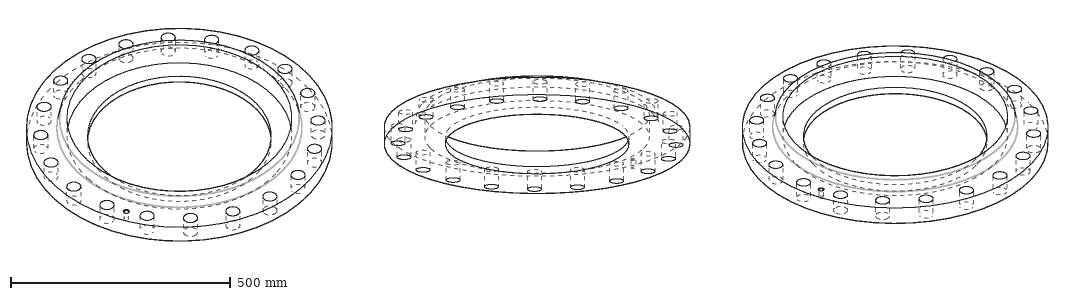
import cadquery as cq
import math

flange_diameter = 698.0
flange_thickness = 42.0
overall_height = 71.0

hub_base_diameter = 558.5
hub_top_diameter = 548.0
hub_edge_fillet = 1.5

bore_diameter = 419.0
recess_diameter = 513.0
recess_floor_height = 17.5

bolt_count = 20
bolt_circle_radius = 635.0 / 2
bolt_hole_diameter = 32.0
bolt_pitch_angle = 360 / bolt_count

small_hole_angle = -90 + bolt_pitch_angle / 2
small_hole_diameter = 10.5
small_hole_depth = flange_thickness / 2
countersink_diameter = 13.0
countersink_angle = 90


def ring_body():
    """Revolved half-section: flange, tapered hub, recess and bore, with the hub's rim and root rounded."""
    half_section = [
        (bore_diameter / 2, 0),
        (flange_diameter / 2, 0),
        (flange_diameter / 2, flange_thickness),
        (hub_base_diameter / 2, flange_thickness),
        (hub_top_diameter / 2, overall_height),
        (recess_diameter / 2, overall_height),
        (recess_diameter / 2, recess_floor_height),
        (bore_diameter / 2, recess_floor_height),
    ]
    ring = cq.Workplane("XZ").polyline(half_section).close().revolve(360, (0, 0, 0), (0, 1, 0))
    hub_rim = cq.selectors.RadiusNthSelector(-3)
    hub_root = cq.selectors.RadiusNthSelector(-2)
    return ring.edges(hub_rim + hub_root).fillet(hub_edge_fillet)


def cut_bolt_holes(body):
    """Evenly spaced through holes, one of them on the +X axis."""
    return (
        body.faces("<Z")
        .workplane(origin=(0, 0, 0))
        .polarArray(bolt_circle_radius, 0, 360, bolt_count)
        .hole(bolt_hole_diameter)
    )


def cut_small_hole(body):
    """Countersunk blind hole on the bolt circle, sunk from the flange's upper face."""
    angle = math.radians(small_hole_angle)
    x = bolt_circle_radius * math.cos(angle)
    y = bolt_circle_radius * math.sin(angle)
    return (
        body.copyWorkplane(cq.Workplane("XY", origin=(x, y, flange_thickness)))
        .cskHole(small_hole_diameter, countersink_diameter, countersink_angle, small_hole_depth)
    )


result = cut_small_hole(cut_bolt_holes(ring_body()))